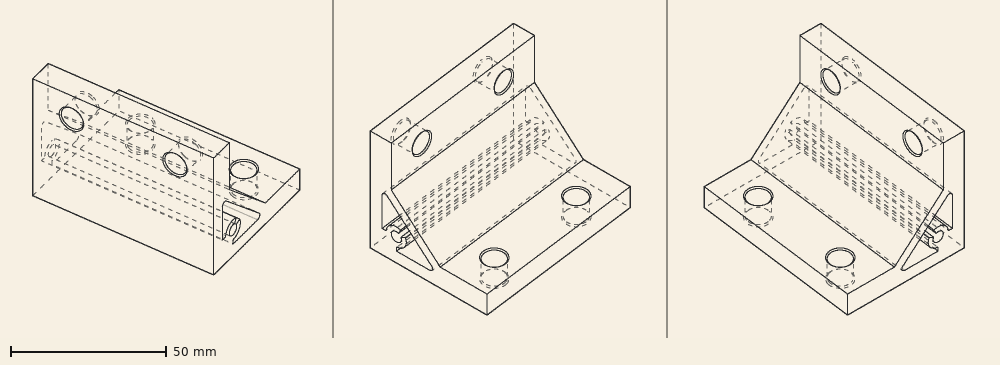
import cadquery as cq
import math

length = 70.0
leg = 50.0
leg_thickness = 9.0
flat_length = 20.0

pocket_offset = 5.1
gusset_thickness = 3.8
pocket_fillet = 1.25
corner_block = 11.3

tube_center = 11.2
tube_radius = 4.3
tube_bore_radius = 2.2
slot_angle = 40.0
tube_root_fillet = 0.5

hole_diameter = 8.5
hole_chamfer = 0.5
hole_end_distance = 15.0
hole_tip_distance = 10.0


def extrude_profile(points):
    """Extrude a closed (Y, Z) outline along the full length."""
    return cq.Workplane("YZ").polyline(points).close().extrude(length)


def tube_cylinder(radius):
    return cq.Workplane("YZ").center(tube_center, tube_center).circle(radius).extrude(length)


def make_body():
    gusset_end = leg - flat_length
    return extrude_profile([
        (0, 0),
        (leg, 0),
        (leg, leg_thickness),
        (gusset_end, leg_thickness),
        (leg_thickness, gusset_end),
        (leg_thickness, leg),
        (0, leg),
    ])


def make_pocket():
    """Triangular hollow, less the corner block and the slotted tube."""
    gusset_sum = leg - flat_length + leg_thickness
    far_end = gusset_sum - gusset_thickness * math.sqrt(2) - pocket_offset
    pocket = extrude_profile([
        (pocket_offset, pocket_offset),
        (far_end, pocket_offset),
        (pocket_offset, far_end),
    ])
    acute_edges = pocket.edges("|X").edges(">Y or >Z")
    pocket = acute_edges.fillet(pocket_fillet)

    block = cq.Workplane("YZ").rect(corner_block, corner_block, centered=False).extrude(length)
    pocket = pocket.cut(block).cut(tube_cylinder(tube_radius))

    root_rise = math.sqrt(tube_radius**2 - (corner_block - tube_center) ** 2)
    root_low = tube_center - root_rise
    margin = tube_root_fillet / 2
    for y, z in [(corner_block, root_low), (root_low, corner_block)]:
        root = cq.selectors.BoxSelector(
            (-margin, y - margin, z - margin),
            (length + margin, y + margin, z + margin),
        )
        pocket = pocket.edges("|X").edges(root).fillet(tube_root_fillet)
    return pocket


def make_tube_slot():
    """Radial wedge that opens the tube toward the gusset."""
    reach = tube_radius * 1.2
    points = [(tube_center, tube_center)]
    for angle in (45 - slot_angle / 2, 45 + slot_angle / 2):
        radians = math.radians(angle)
        points.append((
            tube_center + reach * math.cos(radians),
            tube_center + reach * math.sin(radians),
        ))
    return extrude_profile(points)


def make_hole_cutter():
    """Through hole along +Z from the origin, chamfered at both leg faces."""
    radius = hole_diameter / 2
    mouth = radius + hole_chamfer
    profile = [
        (0, 0),
        (mouth, 0),
        (radius, hole_chamfer),
        (radius, leg_thickness - hole_chamfer),
        (mouth, leg_thickness),
        (0, leg_thickness),
    ]
    return cq.Workplane("XZ").polyline(profile).close().revolve(360, (0, 0, 0), (0, 1, 0))


body = make_body().cut(make_pocket())
body = body.cut(tube_cylinder(tube_bore_radius)).cut(make_tube_slot())

hole_height = leg - hole_tip_distance
flat_hole = make_hole_cutter()
upright_hole = flat_hole.rotate((0, 0, 0), (1, 0, 0), -90)
for x in (hole_end_distance, length - hole_end_distance):
    body = body.cut(flat_hole.translate((x, hole_height, 0)))
    body = body.cut(upright_hole.translate((x, 0, hole_height)))

result = body